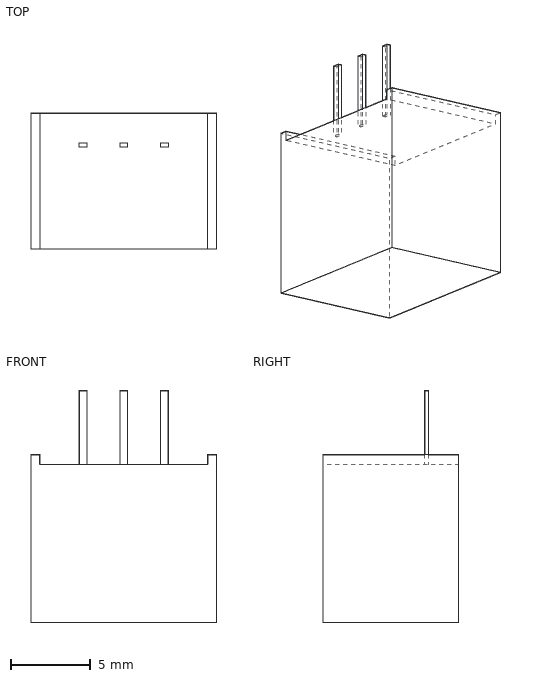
import cadquery as cq

body_width = 11.6
body_depth = 8.5
body_height = 10.5

rail_width = 0.55
rail_height = 0.6

pin_count = 3
pin_pitch = 2.54
pin_width = 0.5
pin_thickness = 0.25
pin_length_above_rails = 4.0
pin_row_from_back = 2.0

floor_height = body_height - rail_height
pin_length = rail_height + pin_length_above_rails
pin_row_y = body_depth / 2 - pin_row_from_back


def make_body():
    """Block standing on Z = 0, centred on X and Y, with a full-depth recess between the rails."""
    block = cq.Workplane("XY").box(body_width, body_depth, body_height, centered=(True, True, False))
    recess = (
        cq.Workplane("XY", origin=(0, 0, floor_height))
        .box(body_width - 2 * rail_width, body_depth, rail_height, centered=(True, True, False))
    )
    return block.cut(recess)


def make_pin(x):
    """Flat rectangular pin rising from the recess floor."""
    return (
        cq.Workplane("XY", origin=(x, pin_row_y, floor_height))
        .box(pin_width, pin_thickness, pin_length, centered=(True, True, False))
    )


result = make_body()
for index in range(pin_count):
    pin_x = (index - (pin_count - 1) / 2) * pin_pitch
    result = result.union(make_pin(pin_x))